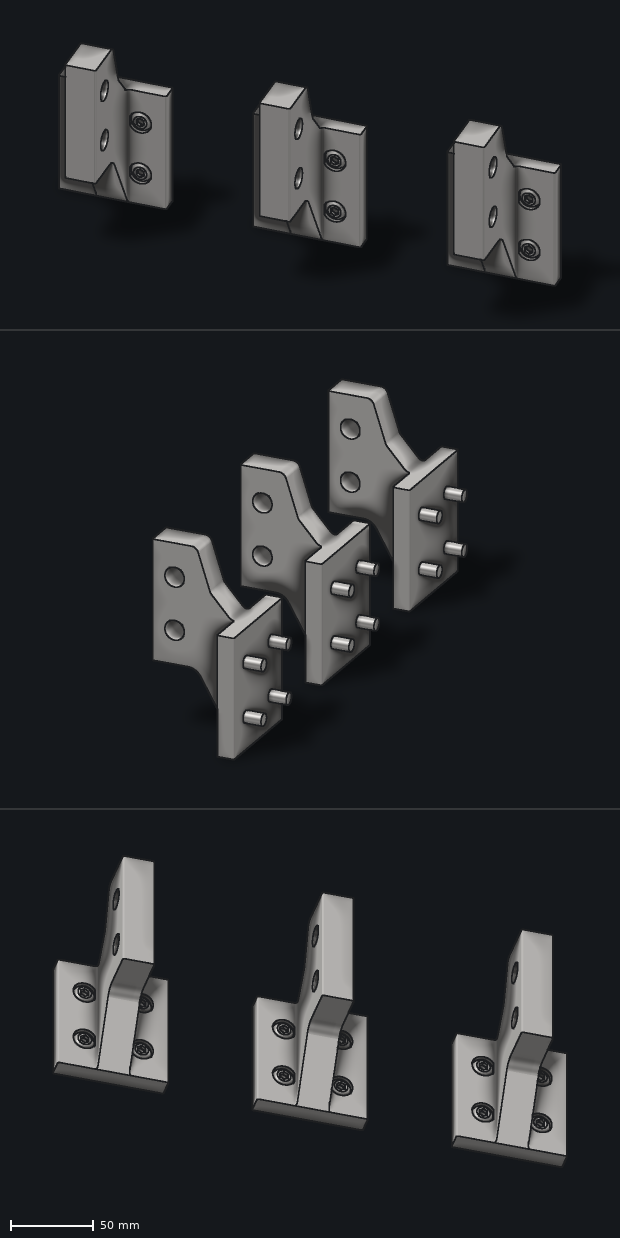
import cadquery as cq
import math

bracket_count = 3
bracket_pitch = 126.0
last_bracket_drop = 0.19

plate_width = 70.0
plate_height = 80.0
plate_thickness = 11.4
plate_edge_radius = 1.0

arm_width = 20.0
arm_reach = 55.0
arm_rise = 44.0
arm_height = 80.0
arm_edge_radius = 1.1
arm_root_radius = 1.4

underside_corner_reach = 25.5
underside_corner_radius = 10.0
foot_radius = 5.0
foot_slope = math.radians(48)
shoulder_reach = 16.0
shoulder_radius = 5.0
top_corner_reach = 25.3
top_corner_radius = 5.0

cross_hole_diameter = 13.0
cross_hole_pitch = 35.0
cross_hole_setback = 15.0

screw_pitch = 36.0
screw_diameter = 8.0
screw_protrusion = 12.0
head_diameter = 14.5
head_height = 4.4
head_flat_diameter = 8.5
head_bulge = 0.5
socket_across_flats = 5.0
socket_side_count = 6
socket_depth = 2.6
socket_cone_depth = 1.4

plate_front = -plate_thickness
arm_front = plate_front - arm_reach
arm_top = arm_rise + arm_height
screw_points = [
    (x, plate_height / 2 + z)
    for x in (-screw_pitch / 2, screw_pitch / 2)
    for z in (-screw_pitch / 2, screw_pitch / 2)
]


def make_plate():
    plate = cq.Workplane("XY").box(plate_width, plate_thickness, plate_height)
    plate = plate.edges("|Z").fillet(plate_edge_radius)
    return plate.translate((0, plate_front / 2, plate_height / 2))


def round_corner(solid, corner, radius):
    """Fillet the edge along X that passes through the (y, z) corner."""
    nearest = cq.selectors.NearestToPointSelector((0, *corner))
    return solid.edges("|X").edges(nearest).fillet(radius)


def make_arm_side_block():
    """The arm's side outline, rooted inside the plate and extruded across its full width."""
    root = plate_front / 2
    foot_reach = foot_radius * math.tan(foot_slope / 2)
    shoulder_height = plate_height + (shoulder_reach - foot_reach) * math.tan(foot_slope)
    underside_corner = (plate_front - underside_corner_reach, arm_rise)
    top_corner = (plate_front - top_corner_reach, arm_top)
    shoulder = (plate_front - shoulder_reach, shoulder_height)
    foot = (plate_front - foot_reach, plate_height)
    outline = [
        (root, 0),
        (plate_front, 0),
        underside_corner,
        (arm_front, arm_rise),
        (arm_front, arm_top),
        top_corner,
        shoulder,
        foot,
        (root, plate_height),
    ]
    half_width = arm_width / 2 + arm_root_radius
    block = cq.Workplane("YZ").polyline(outline).close().extrude(half_width, both=True)
    block = round_corner(block, underside_corner, underside_corner_radius)
    block = round_corner(block, top_corner, top_corner_radius)
    block = round_corner(block, shoulder, shoulder_radius)
    return round_corner(block, foot, foot_radius)


def make_arm_plan_block():
    """The arm seen from above: flared by root fillets, with its front edges rounded."""
    half_width = arm_width / 2
    root_half_width = half_width + arm_root_radius
    root_end = plate_front - arm_root_radius
    return (
        cq.Workplane("XY")
        .moveTo(-root_half_width, plate_front / 2)
        .lineTo(-root_half_width, plate_front)
        .radiusArc((-half_width, root_end), arm_root_radius)
        .lineTo(-half_width, arm_front + arm_edge_radius)
        .radiusArc((-half_width + arm_edge_radius, arm_front), -arm_edge_radius)
        .lineTo(half_width - arm_edge_radius, arm_front)
        .radiusArc((half_width, arm_front + arm_edge_radius), -arm_edge_radius)
        .lineTo(half_width, root_end)
        .radiusArc((root_half_width, plate_front), arm_root_radius)
        .lineTo(root_half_width, plate_front / 2)
        .close()
        .extrude(arm_top)
    )


def make_cross_holes():
    hole_y = arm_front + cross_hole_setback
    middle_z = arm_rise + arm_height / 2
    return (
        cq.Workplane("YZ")
        .pushPoints([(hole_y, middle_z - cross_hole_pitch / 2), (hole_y, middle_z + cross_hole_pitch / 2)])
        .circle(cross_hole_diameter / 2)
        .extrude(arm_width, both=True)
    )


def make_head_recess():
    """Space between the domed screw head and the round recess it sits in, axis on Y."""
    flat_radius = head_flat_diameter / 2
    head_radius = head_diameter / 2
    recess_floor = plate_front + head_height
    dome_middle = (
        (flat_radius + head_radius) / 2 + head_bulge,
        (plate_front + recess_floor) / 2 - head_bulge,
    )
    return (
        cq.Workplane("XY")
        .moveTo(flat_radius, plate_front)
        .lineTo(head_radius, plate_front)
        .lineTo(head_radius, recess_floor)
        .threePointArc(dome_middle, (flat_radius, plate_front))
        .close()
        .revolve(360, (0, 0, 0), (0, 1, 0))
    )


def make_socket():
    """Hexagon socket with a conical bottom, axis on Y."""
    socket_floor = plate_front + socket_depth
    corner_diameter = socket_across_flats / math.cos(math.pi / socket_side_count)
    hexagon = (
        cq.Workplane("XZ", origin=(0, plate_front, 0))
        .polygon(socket_side_count, corner_diameter)
        .extrude(-socket_depth)
        .rotate((0, 0, 0), (0, 1, 0), 180 / socket_side_count)
    )
    cone = (
        cq.Workplane("XY")
        .moveTo(0, socket_floor)
        .lineTo(socket_across_flats / 2, socket_floor)
        .lineTo(0, socket_floor + socket_cone_depth)
        .close()
        .revolve(360, (0, 0, 0), (0, 1, 0))
    )
    return hexagon.union(cone)


def make_shank():
    """Screw shank from the recess floor out through the back of the plate, axis on Y."""
    recess_floor = plate_front + head_height
    length = screw_protrusion - recess_floor
    return cq.Workplane("XZ", origin=(0, recess_floor, 0)).circle(screw_diameter / 2).extrude(-length)


def make_bracket():
    arm = make_arm_side_block().intersect(make_arm_plan_block())
    bracket = make_plate()
    recess = make_head_recess()
    socket = make_socket()
    shank = make_shank()
    for x, z in screw_points:
        place = (x, 0, z)
        bracket = bracket.cut(recess.translate(place)).cut(socket.translate(place))
        bracket = bracket.union(shank.translate(place))
    return bracket.union(arm).cut(make_cross_holes())


bracket = make_bracket()
drops = [0.0] * (bracket_count - 1) + [last_bracket_drop]
brackets = [
    bracket.translate((index * bracket_pitch, 0, -drop)).val()
    for index, drop in enumerate(drops)
]
result = cq.Compound.makeCompound(brackets)